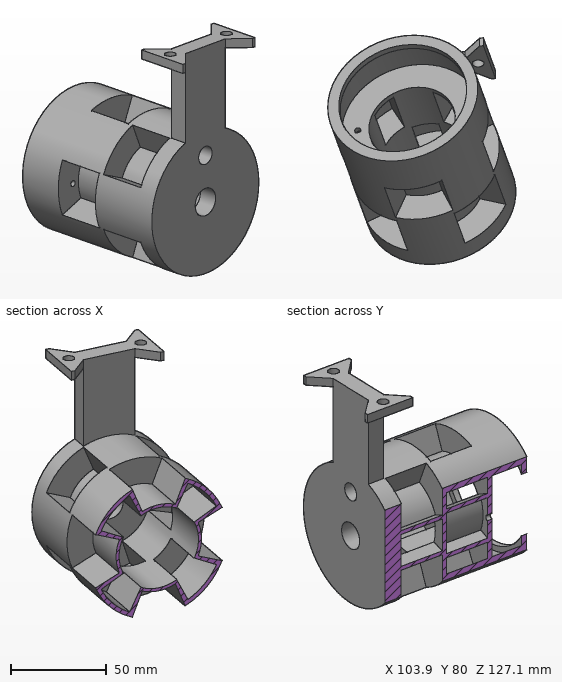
import cadquery as cq
import math

OUTER_RADIUS = 40.0
BODY_LENGTH = 94.0
SKIN = 2.5
WEB = 3.0

LIP_RADIUS = 34.0
LIP_LENGTH = 3.5
CHAMBER_RADIUS = OUTER_RADIUS - SKIN
CHAMBER_END = 23.0

BORE_RADIUS = 23.0
WINDOW_FLOOR_RADIUS = 25.0
WINDOW_LENGTH = 27.0
WINDOW_COUNT = 4
WINDOW_ANGLE = 45.0
POCKET_ANGLE = 36.0
WINDOW_PITCH = 360.0 / WINDOW_COUNT
FIRST_RING_START = CHAMBER_END + WEB
SECOND_RING_START = FIRST_RING_START + WINDOW_LENGTH + WEB
BORE_END = SECOND_RING_START + WINDOW_LENGTH

AXIS_HOLE_DIAMETER = 15.2
CABLE_HOLE_DIAMETER = 10.0
CABLE_HOLE_HEIGHT = 26.0
SCREW_HOLE_DIAMETER = 3.2
SCREW_HOLE_OFFSET = 29.0

OVERALL_HEIGHT = 127.1
TOP_HEIGHT = OVERALL_HEIGHT - OUTER_RADIUS
ARM_THICKNESS = 10.2
ARM_WIDTH = 30.0
PLATE_LENGTH = 30.0
PLATE_WIDTH = 54.0
PLATE_THICKNESS = 5.1
PLATE_TIP = 2.0
PLATE_HOLE_DIAMETER = 6.1
PLATE_HOLE_SPACING = 41.9
ARM_CENTER_X = BODY_LENGTH - ARM_THICKNESS / 2


def cylinder(start, end, radius, y=0.0, z=0.0):
    """Cylinder along X from start to end."""
    return cq.Workplane("YZ", origin=(start, y, z)).circle(radius).extrude(end - start)


def ring_sector(start, inner, outer, center_angle, width_angle):
    """One window-length piece of a ring about X, with radial sides."""
    def point(radius, angle):
        turn = math.radians(angle)
        return (radius * math.cos(turn), radius * math.sin(turn))

    low = center_angle - width_angle / 2
    high = center_angle + width_angle / 2
    return (
        cq.Workplane("YZ", origin=(start, 0, 0))
        .moveTo(*point(inner, low))
        .lineTo(*point(outer, low))
        .threePointArc(point(outer, center_angle), point(outer, high))
        .lineTo(*point(inner, high))
        .threePointArc(point(inner, center_angle), point(inner, low))
        .close()
        .extrude(WINDOW_LENGTH)
    )


def cut_window_ring(body, start, first_angle):
    """Cut outer windows, and between them pockets that open into the bore."""
    window_outer = OUTER_RADIUS + SKIN
    pocket_inner = BORE_RADIUS - SKIN
    for index in range(WINDOW_COUNT):
        window_at = first_angle + index * WINDOW_PITCH
        pocket_at = window_at + WINDOW_PITCH / 2
        body = body.cut(ring_sector(start, WINDOW_FLOOR_RADIUS, window_outer, window_at, WINDOW_ANGLE))
        body = body.cut(ring_sector(start, pocket_inner, CHAMBER_RADIUS, pocket_at, POCKET_ANGLE))
    return body


def make_arm():
    """Upright arm from the body axis height to the top of the plate."""
    return (
        cq.Workplane("XY", origin=(ARM_CENTER_X, 0, 0))
        .rect(ARM_THICKNESS, ARM_WIDTH)
        .extrude(TOP_HEIGHT)
    )


def make_plate():
    """Top plate: a narrow waist flaring out to a wide tip at both ends."""
    waist_x = ARM_THICKNESS / 2
    waist_y = ARM_WIDTH / 2
    end_x = PLATE_LENGTH / 2
    end_y = PLATE_WIDTH / 2
    flare_y = end_y - PLATE_TIP
    right_side = [
        (end_x, -end_y),
        (end_x, -flare_y),
        (waist_x, -waist_y),
        (waist_x, waist_y),
        (end_x, flare_y),
        (end_x, end_y),
    ]
    left_side = [(-x, -y) for x, y in right_side]
    return (
        cq.Workplane("XY", origin=(ARM_CENTER_X, 0, TOP_HEIGHT - PLATE_THICKNESS))
        .polyline(right_side + left_side)
        .close()
        .extrude(PLATE_THICKNESS)
        .faces(">Z")
        .workplane(origin=(ARM_CENTER_X, 0, TOP_HEIGHT))
        .pushPoints([(0, -PLATE_HOLE_SPACING / 2), (0, PLATE_HOLE_SPACING / 2)])
        .hole(PLATE_HOLE_DIAMETER)
    )


result = cylinder(0, BODY_LENGTH, OUTER_RADIUS).union(make_arm()).union(make_plate())

result = result.cut(cylinder(0, LIP_LENGTH, LIP_RADIUS))
result = result.cut(cylinder(LIP_LENGTH, CHAMBER_END, CHAMBER_RADIUS))
result = result.cut(cylinder(CHAMBER_END, BORE_END, BORE_RADIUS))

result = cut_window_ring(result, FIRST_RING_START, 0.0)
result = cut_window_ring(result, SECOND_RING_START, WINDOW_PITCH / 2)

result = result.cut(cylinder(BORE_END, BODY_LENGTH, AXIS_HOLE_DIAMETER / 2))
result = result.cut(cylinder(BORE_END, BODY_LENGTH, CABLE_HOLE_DIAMETER / 2, z=CABLE_HOLE_HEIGHT))

for side in (-1, 1):
    result = result.cut(
        cylinder(CHAMBER_END, FIRST_RING_START, SCREW_HOLE_DIAMETER / 2, y=side * SCREW_HOLE_OFFSET)
    )